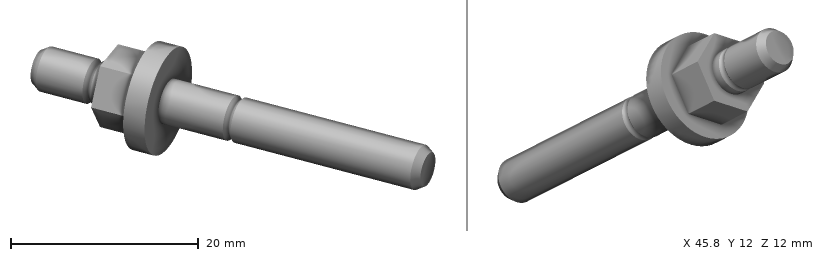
import cadquery as cq
import math

length = 45.8
shaft_radius = 5.0 / 2
end_taper_length = 0.9
end_taper_depth = 0.6

groove_centres = (6.82, 23.3)
groove_width = 0.9
groove_depth = 0.4

hex_start = 8.35
hex_across_flats = 7.9
flange_start = 12.8
flange_thickness = 2.5
flange_diameter = 12.0


def shaft():
    """Revolve a round bar with tapered ends and V-shaped grooves."""
    end_radius = shaft_radius - end_taper_depth
    outline = [(0, 0), (0, end_radius), (end_taper_length, shaft_radius)]
    for centre in groove_centres:
        outline += [
            (centre - groove_width / 2, shaft_radius),
            (centre, shaft_radius - groove_depth),
            (centre + groove_width / 2, shaft_radius),
        ]
    outline += [(length - end_taper_length, shaft_radius), (length, end_radius), (length, 0)]
    return cq.Workplane("XZ").polyline(outline).close().revolve(360, (0, 0), (1, 0))


def hexagon():
    """Hexagon with flats facing up and down, reaching to the flange."""
    across_corners = hex_across_flats / math.cos(math.radians(30))
    plane = cq.Workplane("YZ", origin=(hex_start, 0, 0))
    return plane.polygon(6, across_corners).extrude(flange_start - hex_start)


def flange():
    """Round collar behind the hexagon."""
    plane = cq.Workplane("YZ", origin=(flange_start, 0, 0))
    return plane.circle(flange_diameter / 2).extrude(flange_thickness)


result = shaft().union(hexagon()).union(flange())